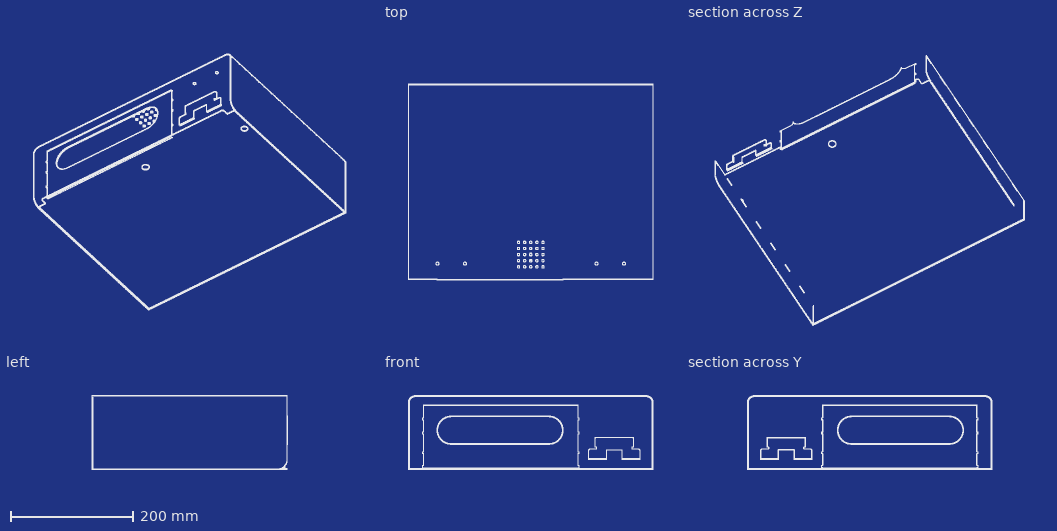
import cadquery as cq
import math

sheet = 1.5
thin_sheet = 1.0
width = 400.0
height = 120.5
back_y = 160.0
front_y = -159.4
inner_half_width = width / 2 - sheet

cover_bend = 10.0 + sheet
toe_round = 16.0
vent_count = 5
vent_pitch = 10.0
vent_diameter = 4.0
vent_center_y = -118.7
recess_diameter = 5.0
recess_depth = 0.5
recess_y = -133.5
recess_xs = (-152.5, -107.5, 107.5, 152.5)

floor_clearance = 0.5
floor_half_width = inner_half_width - floor_clearance
corner_notch_x = 14.0
corner_notch_y = 12.0
corner_round = 3.0
floor_holes = ((0.0, -122.0, 12.0), (185.5, -102.0, 11.0))

panel_x = -49.0
panel_width = 252.0
panel_top = 105.5
panel_depth = 2.5
tab_reach = 2.0
tab_height = 3.0
upper_tab_zs = (27.3, 59.5, 82.5)
foot_tab_height = 4.0

flare_x = -50.2
flare_z = 64.0
flare_straight = 160.0
flare_outer = 29.0
flare_width = 6.0
flare_depth = 4.2
flare_angle = 2 * math.atan(flare_depth / flare_width)
flare_bend = flare_width / math.sin(flare_angle)
lip_y = -160.13
panel_y = lip_y + flare_depth

bracket_x = 136.5
bracket_y = -158.5
bracket_bottom = 16.5
bracket_top = 52.0
wing_half_width = 42.0
wing_top = 33.4
wing_round = 3.0
notch_half_width = 13.0
notch_top = 32.0
leg_outer_half_width = 31.5
leg_bottom = 36.5
leg_depth = 4.0
leg_bend = 2.6
foot_depth = 3.0


def box(x0, x1, y0, y1, z0, z1):
    """Box between two opposite corners."""
    return cq.Workplane("XY").box(x1 - x0, y1 - y0, z1 - z0, centered=False).translate((x0, y0, z0))


def arch(inset, y0, y1):
    """Solid of the cover's outline, drawn in by `inset` at the sides and the top."""
    half_width = width / 2 - inset
    block = box(-half_width, half_width, y0, y1, 0, height - inset)
    return block.edges("|Y and >Z").fillet(cover_bend - inset)


def make_cover():
    cover = arch(0, front_y, back_y).cut(arch(sheet, front_y, back_y))
    cover = cover.edges("|X and <Y and <Z").fillet(toe_round)
    vents = (
        cq.Workplane("XY")
        .workplane(offset=height - sheet)
        .center(0, vent_center_y)
        .rarray(vent_pitch, vent_pitch, vent_count, vent_count)
        .circle(vent_diameter / 2)
        .extrude(sheet)
    )
    recesses = (
        cq.Workplane("XY")
        .workplane(offset=height - sheet)
        .pushPoints([(x, recess_y) for x in recess_xs])
        .circle(recess_diameter / 2)
        .extrude(recess_depth)
    )
    return cover.cut(vents).cut(recesses)


def make_tray():
    floor = box(-floor_half_width, floor_half_width, front_y, back_y, 0, sheet)
    for side in (-1, 1):
        x0, x1 = sorted((side * floor_half_width, side * (floor_half_width - corner_notch_x)))
        floor = floor.cut(box(x0, x1, front_y, front_y + corner_notch_y, 0, sheet))
    floor = floor.edges("|Z and <Y").fillet(corner_round)
    for x, y, diameter in floor_holes:
        floor = floor.cut(cq.Workplane("XY").center(x, y).circle(diameter / 2).extrude(sheet))
    rear_wall = arch(sheet, back_y - sheet, back_y)
    return floor.union(rear_wall)


def flare_point(bend, angle):
    """Point (y, distance from the opening's middle line) on the rim's bend."""
    center_y = panel_y - flare_bend
    return center_y + bend * math.cos(angle), flare_outer - bend * math.sin(angle)


def flare_section():
    """Cross-section of the rim: sheet curving out of the panel to the lip."""
    back_bend = flare_bend + thin_sheet
    return (
        cq.Workplane("YZ")
        .moveTo(*flare_point(flare_bend, 0))
        .threePointArc(flare_point(flare_bend, flare_angle / 2), flare_point(flare_bend, flare_angle))
        .lineTo(*flare_point(back_bend, flare_angle))
        .threePointArc(flare_point(back_bend, flare_angle / 2), flare_point(back_bend, 0))
        .close()
    )


def make_flare():
    """Rim around the opening: straight runs above and below, half turns at both ends."""
    half_straight = flare_straight / 2
    upper_run = flare_section().extrude(half_straight, both=True)
    rim = upper_run.union(upper_run.mirror("XY"))
    ring = flare_section().revolve(360, (0, 0, 0), (1, 0, 0))
    for side in (-1, 1):
        x0, x1 = sorted((0, side * flare_outer))
        end = ring.intersect(box(x0, x1, lip_y, back_y, -flare_outer, flare_outer))
        rim = rim.union(end.translate((side * half_straight, 0, 0)))
    return rim.translate((flare_x, 0, flare_z))


def make_panel():
    x0 = panel_x - panel_width / 2
    x1 = panel_x + panel_width / 2
    rear = panel_y + panel_depth
    panel = box(x0, x1, panel_y, rear, sheet, panel_top)
    hollow = box(x0, x1, panel_y + thin_sheet, rear, sheet + thin_sheet, panel_top - thin_sheet)
    panel = panel.cut(hollow)
    opening = (
        cq.Workplane("XZ", origin=(flare_x, rear, flare_z))
        .slot2D(flare_straight + 2 * flare_outer, 2 * flare_outer)
        .extrude(panel_depth)
    )
    panel = panel.cut(opening).union(make_flare())
    tab_spans = [(z - tab_height / 2, z + tab_height / 2) for z in upper_tab_zs]
    tab_spans.append((sheet + thin_sheet, sheet + thin_sheet + foot_tab_height))
    for z0, z1 in tab_spans:
        for tab_x0, tab_x1 in ((x0 - tab_reach, x0), (x1, x1 + tab_reach)):
            panel = panel.union(box(tab_x0, tab_x1, panel_y, panel_y + thin_sheet, z0, z1))
    return panel


def make_bracket():
    plate_rear = bracket_y + thin_sheet
    foot_rear = bracket_y + foot_depth
    leg_rear = bracket_y + leg_depth
    wings = box(-wing_half_width, wing_half_width, bracket_y, foot_rear, bracket_bottom, wing_top)
    wings = wings.edges("|Y and >Z").fillet(wing_round)
    flange_top = bracket_bottom + thin_sheet
    wings = wings.cut(box(-wing_half_width, wing_half_width, plate_rear, foot_rear, flange_top, wing_top))
    neck_half_width = leg_outer_half_width - leg_bend
    neck = box(-neck_half_width, neck_half_width, bracket_y, plate_rear, wing_top, leg_bottom)
    outer = leg_outer_half_width
    inner = outer - thin_sheet
    legs = box(-outer, outer, bracket_y, leg_rear, leg_bottom, bracket_top)
    legs = legs.edges("|Z and <Y").fillet(leg_bend)
    between_legs = box(-inner, inner, plate_rear, leg_rear, leg_bottom, bracket_top)
    legs = legs.cut(between_legs.edges("|Z and <Y").fillet(leg_bend - thin_sheet))
    notch = box(-notch_half_width, notch_half_width, bracket_y, foot_rear, bracket_bottom, notch_top)
    return wings.union(neck).union(legs).cut(notch).translate((bracket_x, 0, 0))


cover = make_cover()
tray = make_tray()
panel = make_panel()
bracket = make_bracket()

result = cq.Compound.makeCompound([cover.val(), tray.val(), panel.val(), bracket.val()])